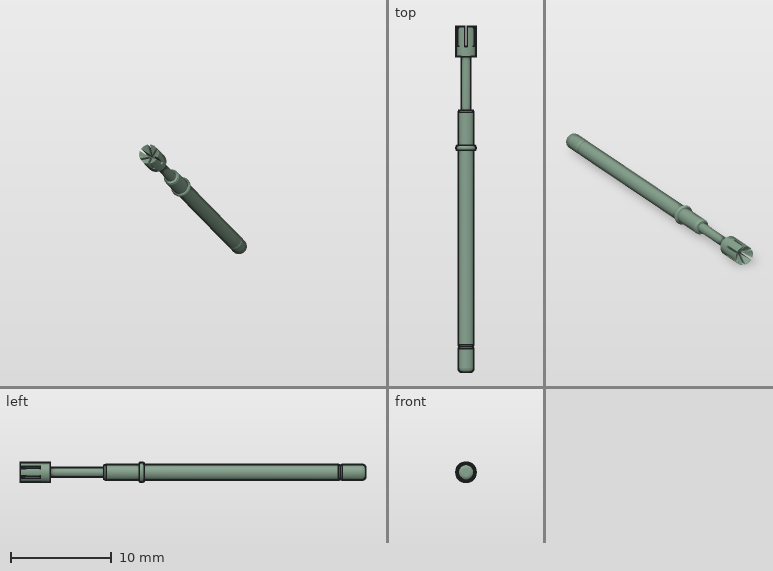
import cadquery as cq


total_length = 34.3
crown_length = 3.02
plunger_exposed = 5.28
collar_offset = 3.5
collar_length = 0.5
groove_offset = 2.55
groove_width = 0.4

head_diameter = 2.0
plunger_diameter = 0.95
barrel_diameter = 1.58
collar_shoulder_diameter = 1.75

mouth_chamfer_length = 0.25
mouth_chamfer_depth = 0.1
tail_round = 0.4
groove_depth = 0.1

slot_count = 6
slot_width = 0.25
slot_depth = 2.0
hollow_depth = 1.15
rim_thickness = 0.05

tail_y = -total_length / 2
tip_y = total_length / 2
crown_base_y = tip_y - crown_length
mouth_y = crown_base_y - plunger_exposed
collar_top_y = mouth_y - collar_offset
collar_bottom_y = collar_top_y - collar_length
groove_y = tail_y + groove_offset


def revolve_about_y(profile):
    """Close a half profile drawn in the XY plane and spin it about the Y axis."""
    return profile.close().revolve(360, (0, 0, 0), (0, 1, 0))


def rod(diameter, start_y, end_y):
    """Solid cylinder on the Y axis between two stations."""
    plane = cq.Workplane("XZ", origin=(0, end_y, 0))
    return plane.circle(diameter / 2).extrude(end_y - start_y)


def make_barrel():
    """Tube body with a rounded tail, a chamfered mouth and a V groove near the tail."""
    radius = barrel_diameter / 2
    body = (
        cq.Workplane("XY")
        .moveTo(0, tail_y)
        .lineTo(radius, tail_y)
        .lineTo(radius, mouth_y - mouth_chamfer_length)
        .lineTo(radius - mouth_chamfer_depth, mouth_y)
        .lineTo(0, mouth_y)
    )
    barrel = revolve_about_y(body).faces("<Y").edges().fillet(tail_round)
    groove = (
        cq.Workplane("XY")
        .moveTo(radius, groove_y - groove_width / 2)
        .lineTo(radius - groove_depth, groove_y)
        .lineTo(radius, groove_y + groove_width / 2)
    )
    return barrel.cut(revolve_about_y(groove))


def make_collar():
    """Press-fit stop ring with flat sides and a bulging rim."""
    shoulder_radius = collar_shoulder_diameter / 2
    middle_y = (collar_bottom_y + collar_top_y) / 2
    ring = (
        cq.Workplane("XY")
        .moveTo(0, collar_bottom_y)
        .lineTo(shoulder_radius, collar_bottom_y)
        .threePointArc((head_diameter / 2, middle_y), (shoulder_radius, collar_top_y))
        .lineTo(0, collar_top_y)
    )
    return revolve_about_y(ring)


def make_crown():
    """Plunger head with a conical hollow, split into points by evenly spaced slots."""
    crown = rod(head_diameter, crown_base_y, tip_y)
    hollow = (
        cq.Workplane("XY")
        .moveTo(0, tip_y - hollow_depth)
        .lineTo(head_diameter / 2 - rim_thickness, tip_y)
        .lineTo(0, tip_y)
    )
    crown = crown.cut(revolve_about_y(hollow))
    slot = cq.Workplane("XY").box(slot_width, slot_depth, head_diameter * 2)
    slot = slot.translate((0, tip_y - slot_depth / 2, 0))
    for index in range(slot_count // 2):
        angle = index * 360 / slot_count
        crown = crown.cut(slot.rotate((0, 0, 0), (0, 1, 0), angle))
    return crown


plunger = rod(plunger_diameter, mouth_y, crown_base_y)
result = make_barrel().union(make_collar()).union(plunger).union(make_crown())